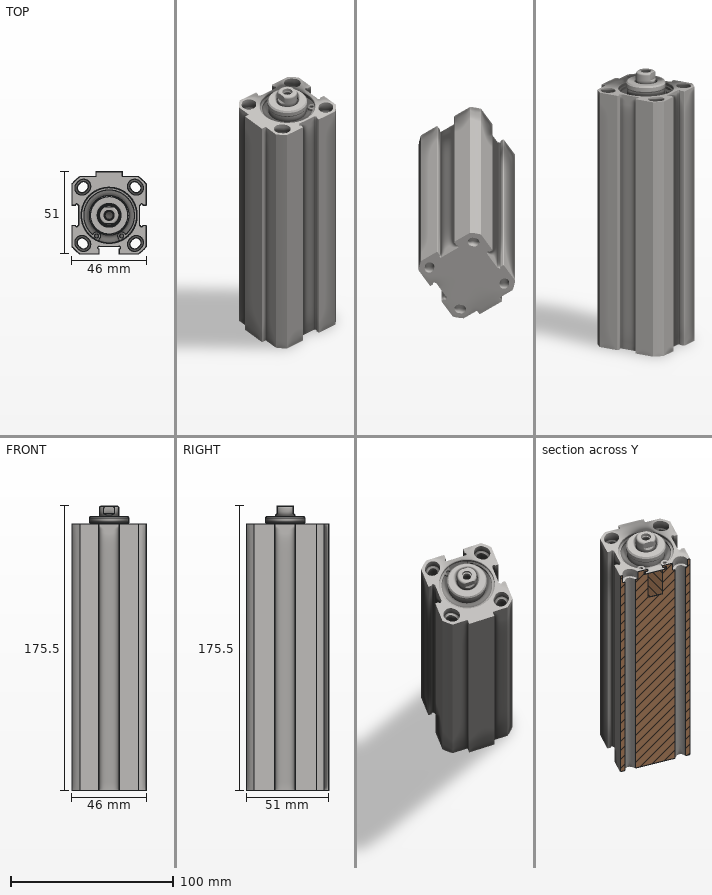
import cadquery as cq
import math

BODY_WIDTH = 46.0
BODY_DEPTH = 48.0
BODY_HEIGHT = 164.5
CORNER_ROUND_DIAMETER = 60.0
RAIL_WIDTH = 16.5
RAIL_HEIGHT = 3.0

SLOT_WIDTH = 12.4
SIDE_SLOT_DEPTH = 4.25
FRONT_SLOT_DEPTH = 4.75
GROOVE_DIAMETER = 1.6
SIDE_GROOVE_INSET = 3.0
FRONT_GROOVE_INSET = 4.0
SLOT_MOUTH_BEVEL = 0.25

MOUNT_PITCH_X = 32.5
MOUNT_PITCH_Y = 34.7
MOUNT_ELONGATION = 1.4
MOUNT_HOLE_WIDTH = 5.8
MOUNT_COUNTERBORE_WIDTH = 8.9
MOUNT_COUNTERBORE_DEPTH = 6.0

SEAT_DIAMETER = 34.1
SEAT_MOUTH_BEVEL = 0.3
GLAND_FACE_DEPTH = 3.5
GLAND_LENGTH = 20.0

RING_DIAMETER = 35.8
RING_INNER_DIAMETER = 31.3
RING_THICKNESS = 1.5
LUG_DIAMETER = 4.92
LUG_HOLE_DIAMETER = 2.5
LUG_X = 7.75
LUG_Y = -12.75
RING_GAP = 12.2

COLLAR_DIAMETER = 23.5
FLANGE_DIAMETER = 24.5
FLANGE_TOP_DIAMETER = 23.0
FLANGE_RISE = 4.75
FLANGE_TOP_BEVEL = 1.0
FLANGE_BOTTOM_BEVEL = 0.85
FLANGE_START = 0.4
WIPER_MOUTH_DIAMETER = 14.7
WIPER_DIAMETER = 13.7
WIPER_LIP_DIAMETER = 12.54
WIPER_DEPTH = 1.5
WIPER_LIP_DEPTH = 3.0

ROD_DIAMETER = 12.0
ROD_RISE = 11.0
ROD_TIP_ROUND = 1.2
FLATS_WIDTH = 10.0
FLATS_LENGTH = 4.6
THREAD_DIAMETER = 4.92
THREAD_MOUTH_DIAMETER = 6.25
THREAD_MOUTH_DEPTH = 2.0
THREAD_DEPTH = 12.0
DRILL_TIP_ANGLE = 140.0

SHOULDER_Z = BODY_HEIGHT - GLAND_FACE_DEPTH
SEAT_FLOOR_Z = SHOULDER_Z - GLAND_LENGTH
ROD_TOP_Z = BODY_HEIGHT + ROD_RISE


def cylinder(diameter, bottom, top):
    return cq.Workplane("XY").workplane(offset=bottom).circle(diameter / 2).extrude(top - bottom)


def box(width, depth, bottom, top, x=0.0, y=0.0):
    block = cq.Workplane("XY").workplane(offset=bottom).center(x, y)
    return block.rect(width, depth).extrude(top - bottom)


def sensor_slot(face_distance, depth, groove_inset, angle):
    """Full-height slot, made in the +X face and turned about Z onto its own face."""
    half_width = SLOT_WIDTH / 2
    half_outline = [
        (face_distance - depth, half_width),
        (face_distance - SLOT_MOUTH_BEVEL, half_width),
        (face_distance, half_width + SLOT_MOUTH_BEVEL),
    ]
    outline = half_outline + [(x, -y) for x, y in reversed(half_outline)]
    slot = cq.Workplane("XY").polyline(outline).close().extrude(BODY_HEIGHT)
    for side in (-1, 1):
        groove = cylinder(GROOVE_DIAMETER, 0, BODY_HEIGHT)
        slot = slot.union(groove.translate((face_distance - groove_inset, side * half_width, 0)))
    return slot.rotate((0, 0, 0), (0, 0, 1), angle)


def mount_slots(width, bottom, top):
    """Four round-ended slots lying across the corner diagonals."""
    cutters = cq.Workplane("XY")
    for side_x in (-1, 1):
        for side_y in (-1, 1):
            slot = cq.Workplane("XY").workplane(offset=bottom)
            slot = slot.center(side_x * MOUNT_PITCH_X / 2, side_y * MOUNT_PITCH_Y / 2)
            slot = slot.slot2D(width + MOUNT_ELONGATION, width, -45 * side_x * side_y)
            cutters = cutters.add(slot.extrude(top - bottom))
    return cutters


def make_housing():
    body = box(BODY_WIDTH, BODY_DEPTH, 0, BODY_HEIGHT)
    body = body.intersect(cylinder(CORNER_ROUND_DIAMETER, 0, BODY_HEIGHT))
    rail_y = (BODY_DEPTH + RAIL_HEIGHT) / 2
    body = body.union(box(RAIL_WIDTH, RAIL_HEIGHT, 0, BODY_HEIGHT, y=rail_y))
    body = body.cut(sensor_slot(BODY_WIDTH / 2, SIDE_SLOT_DEPTH, SIDE_GROOVE_INSET, 0))
    body = body.cut(sensor_slot(BODY_WIDTH / 2, SIDE_SLOT_DEPTH, SIDE_GROOVE_INSET, 180))
    body = body.cut(sensor_slot(BODY_DEPTH / 2, FRONT_SLOT_DEPTH, FRONT_GROOVE_INSET, -90))
    for cutter in mount_slots(MOUNT_HOLE_WIDTH, 0, BODY_HEIGHT).vals():
        body = body.cut(cq.Workplane(cutter))
    counterbore_z = BODY_HEIGHT - MOUNT_COUNTERBORE_DEPTH
    for cutter in mount_slots(MOUNT_COUNTERBORE_WIDTH, counterbore_z, BODY_HEIGHT).vals():
        body = body.cut(cq.Workplane(cutter))
    body = body.cut(cylinder(SEAT_DIAMETER, SEAT_FLOOR_Z, BODY_HEIGHT))
    mouth = cq.Workplane("XY").workplane(offset=BODY_HEIGHT).circle(SEAT_DIAMETER / 2 + SEAT_MOUTH_BEVEL)
    body = body.cut(mouth.extrude(-SEAT_MOUTH_BEVEL, taper=45))
    return body.cut(cylinder(RING_DIAMETER, SHOULDER_Z, SHOULDER_Z + RING_THICKNESS))


def make_ring():
    top = SHOULDER_Z + RING_THICKNESS
    ring = cylinder(RING_DIAMETER, SHOULDER_Z, top)
    ring = ring.cut(cylinder(RING_INNER_DIAMETER, SHOULDER_Z, top))
    ring = ring.cut(box(RING_GAP, RING_DIAMETER, SHOULDER_Z, top, y=-RING_DIAMETER / 2))
    for side in (-1, 1):
        ring = ring.union(cylinder(LUG_DIAMETER, SHOULDER_Z, top).translate((side * LUG_X, LUG_Y, 0)))
        ring = ring.cut(cylinder(LUG_HOLE_DIAMETER, SHOULDER_Z, top).translate((side * LUG_X, LUG_Y, 0)))
    return ring


def make_gland():
    flange_bottom = BODY_HEIGHT + FLANGE_START
    flange_top = BODY_HEIGHT + FLANGE_RISE
    collar_radius = COLLAR_DIAMETER / 2
    flange_radius = FLANGE_DIAMETER / 2
    mouth_bevel = (WIPER_MOUTH_DIAMETER - WIPER_DIAMETER) / 2
    profile = [
        (ROD_DIAMETER / 2, SEAT_FLOOR_Z),
        (SEAT_DIAMETER / 2, SEAT_FLOOR_Z),
        (SEAT_DIAMETER / 2, SHOULDER_Z),
        (collar_radius, SHOULDER_Z),
        (collar_radius, flange_bottom),
        (flange_radius, flange_bottom + FLANGE_BOTTOM_BEVEL),
        (flange_radius, flange_top - FLANGE_TOP_BEVEL),
        (FLANGE_TOP_DIAMETER / 2, flange_top),
        (WIPER_MOUTH_DIAMETER / 2, flange_top),
        (WIPER_DIAMETER / 2, flange_top - mouth_bevel),
        (WIPER_DIAMETER / 2, flange_top - WIPER_DEPTH),
        (WIPER_LIP_DIAMETER / 2, flange_top - WIPER_DEPTH),
        (WIPER_LIP_DIAMETER / 2, flange_top - WIPER_LIP_DEPTH),
        (ROD_DIAMETER / 2, flange_top - WIPER_LIP_DEPTH),
    ]
    return cq.Workplane("XZ").polyline(profile).close().revolve(360, (0, 0), (0, 1))


def wrench_flat():
    """Cutter for the -Y wrench flat, with a 45 degree run-out at its lower end."""
    flat_y = -FLATS_WIDTH / 2
    outer_y = -ROD_DIAMETER
    flat_z = ROD_TOP_Z - FLATS_LENGTH
    profile = [
        (flat_y, ROD_TOP_Z),
        (flat_y, flat_z),
        (outer_y, flat_z + outer_y - flat_y),
        (outer_y, ROD_TOP_Z),
    ]
    return cq.Workplane("YZ").polyline(profile).close().extrude(ROD_DIAMETER, both=True)


def thread_hole():
    core_radius = THREAD_DIAMETER / 2
    mouth_radius = THREAD_MOUTH_DIAMETER / 2
    core_bottom = ROD_TOP_Z - THREAD_DEPTH
    tip_depth = core_radius / math.tan(math.radians(DRILL_TIP_ANGLE / 2))
    profile = [
        (0, core_bottom - tip_depth),
        (core_radius, core_bottom),
        (core_radius, ROD_TOP_Z - THREAD_MOUTH_DEPTH),
        (mouth_radius, ROD_TOP_Z - THREAD_MOUTH_DEPTH),
        (mouth_radius, ROD_TOP_Z),
        (0, ROD_TOP_Z),
    ]
    return cq.Workplane("XZ").polyline(profile).close().revolve(360, (0, 0), (0, 1))


def make_rod():
    rod = cylinder(ROD_DIAMETER, SEAT_FLOOR_Z, ROD_TOP_Z).faces(">Z").edges().fillet(ROD_TIP_ROUND)
    rod = rod.cut(wrench_flat())
    rod = rod.cut(wrench_flat().mirror("XZ"))
    return rod.cut(thread_hole())


ring = make_ring()
housing = make_housing()
gland = make_gland()
rod = make_rod()

result = cq.Compound.makeCompound([housing.val(), gland.val(), ring.val(), rod.val()])